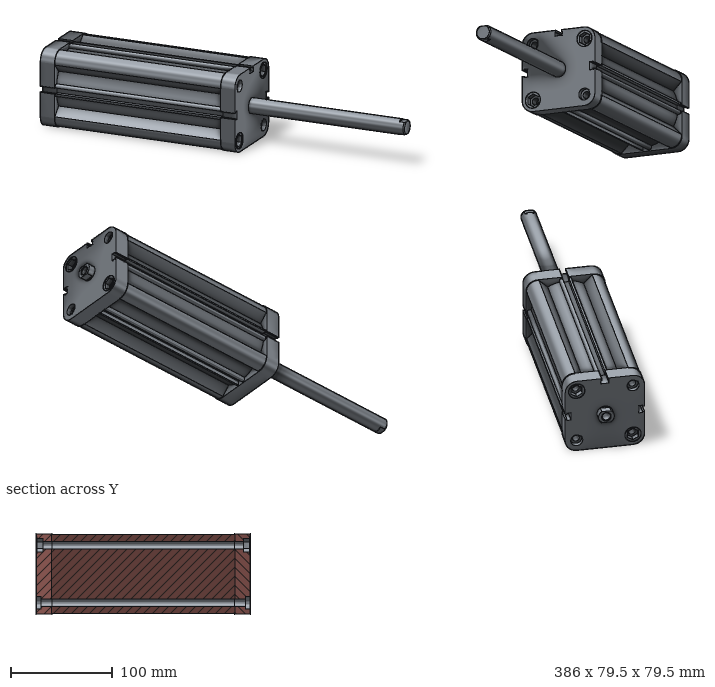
import cadquery as cq
import math

rod_length = 386.0
stub_length = 7.5
cap_thickness = 15.5
barrel_length = 179.5
barrel_start = stub_length + cap_thickness
barrel_end = barrel_start + barrel_length

sides = 4
cap_side = 79.5
tie_hole_offset = 28.0
tie_hole_diameter = 7.0
cap_corner_radius = 12.0
slot_width = 6.0
slot_depth = 5.8
slot_lip = 2.0
slot_inner_width = 8.0
slot_floor = cap_side / 2 - slot_depth
counterbore_diameter = 12.0
counterbore_depth = 1.2
nut_across_flats = 11.2
nut_pocket_depth = 1.7
washer_recess_diameter = 16.2
washer_recess_depth = 0.2

barrel_radius = 35.0
lobe_radius = 11.0
lobe_edge = 26.5
rail_outer_width = 12.5
rail_top = 38.5
rail_slot_depth = 4.5
rail_edge_radius = 2.5

rod_diameter = 16.0
flat_width = 12.7
flat_length = 6.5
tip_chamfer = 1.0
thread_hole_diameter = 8.0
thread_hole_depth = 20.0
thread_chamfer = 0.8
drill_angle = 118.0

corner_points = [(y, z) for y in (-tie_hole_offset, tie_hole_offset)
                 for z in (-tie_hole_offset, tie_hole_offset)]


def plane_at(x):
    """Plane across the axis at x: local x is Y, local y is Z, normal is +X."""
    return cq.Workplane("YZ", origin=(x, 0, 0))


def around_axis(shape):
    """The shape repeated on all four sides."""
    return [shape.rotate((0, 0, 0), (1, 0, 0), 360 / sides * turn) for turn in range(sides)]


def cap_slot(start):
    """T-slot cutter for the +Z side of a cap."""
    outer = cap_side / 2
    lip_bottom = outer - slot_lip
    narrow = plane_at(start).center(0, outer - slot_depth / 2).rect(slot_width, slot_depth)
    wide = plane_at(start).center(0, (lip_bottom + slot_floor) / 2)
    wide = wide.rect(slot_inner_width, lip_bottom - slot_floor)
    return narrow.extrude(cap_thickness).union(wide.extrude(cap_thickness))


def make_cap(start, outward):
    """End cap; outward is -1 or +1, the X direction its outer face looks."""
    cap = plane_at(start).rect(cap_side, cap_side).extrude(cap_thickness)
    cap = cap.edges("|X").fillet(cap_corner_radius)
    bores = plane_at(start).circle(rod_diameter / 2).extrude(cap_thickness)
    bores = bores.union(plane_at(start).pushPoints(corner_points)
                        .circle(tie_hole_diameter / 2).extrude(cap_thickness))
    cap = cap.cut(bores)

    slots = around_axis(cap_slot(start))
    for side in (0, 1, 3):
        cap = cap.cut(slots[side])

    face = plane_at(start if outward < 0 else start + cap_thickness)
    round_corners = [(y, z) for y, z in corner_points if y * z < 0]
    nut_corners = [(y, z) for y, z in corner_points if y * z > 0]
    nut_diameter = nut_across_flats / math.cos(math.radians(30))
    cap = cap.cut(face.pushPoints(round_corners).circle(counterbore_diameter / 2)
                  .extrude(-outward * counterbore_depth))
    cap = cap.cut(face.pushPoints(nut_corners).circle(washer_recess_diameter / 2)
                  .extrude(-outward * washer_recess_depth))
    for y, z in nut_corners:
        nut = face.center(y, z).transformed(rotate=(0, 0, 90)).polygon(6, nut_diameter)
        cap = cap.cut(nut.extrude(-outward * nut_pocket_depth))
    return cap


def corner_lobe():
    """Rounded lobe in the +Y +Z corner with two 45 degree flanks toward the round wall."""
    bulge = math.sqrt(lobe_radius ** 2 - (tie_hole_offset - lobe_edge) ** 2)
    crest = tie_hole_offset + bulge
    tip = tie_hole_offset + lobe_radius / math.sqrt(2)
    root = crest - lobe_edge
    profile = (plane_at(barrel_start).moveTo(0, root).lineTo(lobe_edge, crest)
               .threePointArc((tip, tip), (crest, lobe_edge))
               .lineTo(root, 0).close())
    return profile.extrude(barrel_length)


def slot_rails():
    """Raised strip on the +Z side that the barrel slot is cut into."""
    strip = plane_at(barrel_start).center(0, rail_top / 2).rect(rail_outer_width, rail_top)
    return strip.extrude(barrel_length).edges("|X and >Z").fillet(rail_edge_radius)


def barrel_slot():
    """Plain slot cutter for the +Z side of the barrel."""
    slot = plane_at(barrel_start).center(0, rail_top - rail_slot_depth / 2)
    return slot.rect(slot_width, rail_slot_depth).extrude(barrel_length)


def make_barrel():
    barrel = plane_at(barrel_start).circle(barrel_radius).extrude(barrel_length)
    for lobe in around_axis(corner_lobe()):
        barrel = barrel.union(lobe)
    for rails in around_axis(slot_rails()):
        barrel = barrel.union(rails)
    for slot in around_axis(barrel_slot()):
        barrel = barrel.cut(slot)
    bores = plane_at(barrel_start).circle(rod_diameter / 2).extrude(barrel_length)
    tie_holes = plane_at(barrel_start).pushPoints(corner_points).circle(tie_hole_diameter / 2)
    return barrel.cut(bores).cut(tie_holes.extrude(barrel_length))


def flats_cutter(start, length):
    """Two blocks that cut parallel wrench flats above and below the rod axis."""
    block_height = rod_diameter / 2
    block_offset = (flat_width + block_height) / 2
    blocks = plane_at(start).pushPoints([(0, -block_offset), (0, block_offset)])
    return blocks.rect(2 * rod_diameter, block_height).extrude(length)


def thread_hole():
    """Blind drilled hole in the left end of the rod, with a chamfered mouth and a cone bottom."""
    radius = thread_hole_diameter / 2
    cone_depth = radius / math.tan(math.radians(drill_angle / 2))
    profile = (cq.Workplane("XY").lineTo(0, radius + thread_chamfer).lineTo(thread_chamfer, radius)
               .lineTo(thread_hole_depth, radius).lineTo(thread_hole_depth + cone_depth, 0).close())
    return profile.revolve(360, (0, 0, 0), (1, 0, 0))


def make_rod():
    rod = plane_at(0).circle(rod_diameter / 2).extrude(rod_length)
    rod = rod.faces(">X").chamfer(tip_chamfer)
    rod = rod.cut(flats_cutter(0, flat_length))
    rod = rod.cut(flats_cutter(rod_length - flat_length, flat_length))
    return rod.cut(thread_hole())


left_cap = make_cap(stub_length, -4)
right_cap = make_cap(barrel_end, 4)
barrel = make_barrel()
rod = make_rod()

result = cq.Compound.makeCompound([left_cap.val(), right_cap.val(), barrel.val(), rod.val()])